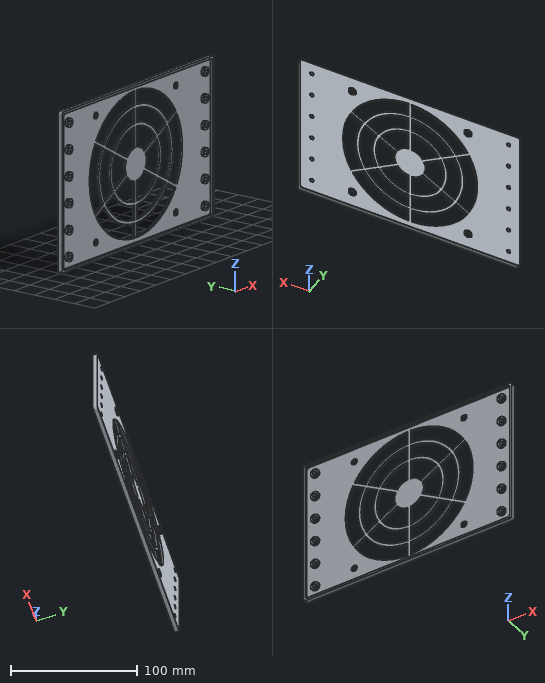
import cadquery as cq

WIDTH = 199.6
HEIGHT = 133.45
DEPTH = 4.0
CORNER_RADIUS = 2.0

RIM_WIDTH = 2.0
RECESS_DEPTH = 2.0
RECESS_CORNER_RADIUS = 2.0

GRILLE_BAR = 3.0
HUB_RADIUS = 14.0
RING_INNER_RADII = (31.0, 46.0)
VENT_RADIUS = 61.0
SPOKE_COUNT = 6

FAN_HOLE_SPACING = 105.0
FAN_HOLE_DIAMETER = 5.2
FAN_COUNTERSINK_DEPTH = 0.9

BOSS_DIAMETER = 7.2
BOSS_HOLE_DIAMETER = 3.2
BOSS_HEIGHT = RECESS_DEPTH
BOSS_COLUMN_SPACING = 178.6
BOSSES_PER_COLUMN = 6
BOSS_PITCH = HEIGHT / BOSSES_PER_COLUMN

FRONT_Y = -DEPTH / 2
BACK_Y = DEPTH / 2
FLOOR_Y = FRONT_Y + RECESS_DEPTH
FLOOR_THICKNESS = BACK_Y - FLOOR_Y


def plane_at(y):
    """Sketch plane at the given Y, extruding towards -Y with X right and Z up."""
    return cq.Workplane("XZ", origin=(0, y, 0))


def rounded_block(width, height, corner_radius, back_y, depth):
    block = plane_at(back_y).rect(width, height).extrude(depth)
    return block.edges("|Y").fillet(corner_radius)


def make_tray():
    plate = rounded_block(WIDTH, HEIGHT, CORNER_RADIUS, BACK_Y, DEPTH)
    recess = rounded_block(
        WIDTH - 2 * RIM_WIDTH,
        HEIGHT - 2 * RIM_WIDTH,
        RECESS_CORNER_RADIUS,
        FLOOR_Y,
        RECESS_DEPTH,
    )
    return plate.cut(recess)


def make_ring(inner_radius, outer_radius):
    return plane_at(BACK_Y).circle(outer_radius).circle(inner_radius).extrude(FLOOR_THICKNESS)


def make_vent_openings():
    """Ring-shaped gaps between hub, rings and plate, interrupted by the spokes."""
    gap_starts = [HUB_RADIUS] + [radius + GRILLE_BAR for radius in RING_INNER_RADII]
    gap_ends = list(RING_INNER_RADII) + [VENT_RADIUS]
    openings = cq.Workplane("XZ")
    for start, end in zip(gap_starts, gap_ends):
        openings = openings.add(make_ring(start, end))
    openings = openings.combine()

    bar = plane_at(BACK_Y).rect(GRILLE_BAR, 2 * VENT_RADIUS + GRILLE_BAR).extrude(FLOOR_THICKNESS)
    for index in range(SPOKE_COUNT // 2):
        angle = index * 360 / SPOKE_COUNT
        openings = openings.cut(bar.rotate((0, 0, 0), (0, 1, 0), angle))
    return openings


def make_fan_holes():
    """Through holes, each opening into a 45 degree countersink at the back face."""
    hole_radius = FAN_HOLE_DIAMETER / 2
    sink_radius = hole_radius + FAN_COUNTERSINK_DEPTH
    cone = cq.Solid.makeCone(
        sink_radius, hole_radius, FAN_COUNTERSINK_DEPTH, cq.Vector(0, BACK_Y, 0), cq.Vector(0, -1, 0)
    )
    shaft = plane_at(BACK_Y).circle(hole_radius).extrude(FLOOR_THICKNESS)
    hole = shaft.union(cq.Workplane(cone)).val()

    offset = FAN_HOLE_SPACING / 2
    holes = cq.Workplane("XZ")
    for x in (-offset, offset):
        for z in (-offset, offset):
            holes = holes.add(hole.translate(cq.Vector(x, 0, z)))
    return holes.combine()


def boss_cylinders(diameter, back_y, length):
    return (
        plane_at(back_y)
        .rarray(BOSS_COLUMN_SPACING, BOSS_PITCH, 2, BOSSES_PER_COLUMN)
        .circle(diameter / 2)
        .extrude(length)
    )


result = (
    make_tray()
    .cut(make_vent_openings())
    .cut(make_fan_holes())
    .union(boss_cylinders(BOSS_DIAMETER, FLOOR_Y, BOSS_HEIGHT))
    .cut(boss_cylinders(BOSS_HOLE_DIAMETER, BACK_Y, FLOOR_THICKNESS + BOSS_HEIGHT))
)